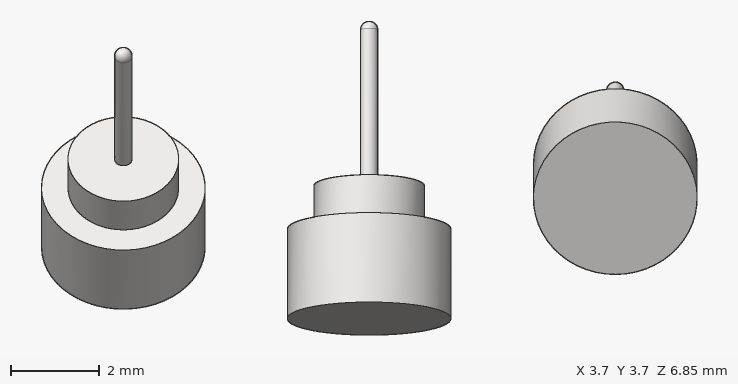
import cadquery as cq

total_height = 6.85
base_diameter = 3.7
base_height = 2.06

collar_diameter = 2.5
collar_height = 1.0

pin_diameter = 0.4
pin_radius = pin_diameter / 2
collar_top = base_height + collar_height
pin_straight_length = total_height - collar_top - pin_radius


def stepped_body():
    """Wide base with a narrower concentric collar on top."""
    base = cq.Workplane("XY").circle(base_diameter / 2).extrude(base_height)
    return base.faces(">Z").workplane().circle(collar_diameter / 2).extrude(collar_height)


def pin():
    """Slender pin standing on the collar, ending in a hemisphere."""
    shank = cq.Workplane("XY").workplane(offset=collar_top).circle(pin_radius).extrude(pin_straight_length)
    tip = cq.Workplane("XY").sphere(pin_radius).translate((0, 0, total_height - pin_radius))
    return shank.union(tip)


result = stepped_body().union(pin())